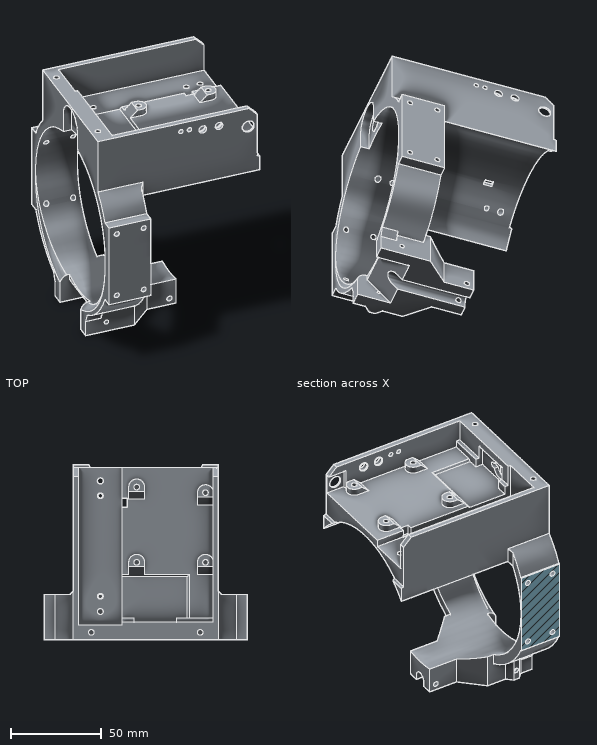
import cadquery as cq
import math


bore_radius = 100.6 / 2
ring_radius = 56.0
ring_length = 25.0
mouth_depth = 4.0
mouth_length = 5.5

pad_half_span = 56.0
pad_half_height = 25.0
pad_hole_diameter = 2.9
pad_hole_z = 20.0
pad_hole_y = (4.7, 20.7)

tray_half_width = 40.0
tray_length = 95.0
tray_top = 72.0
tray_bottom = math.sqrt(bore_radius**2 - tray_half_width**2)
wall = 3.0
wall_end_chamfer = 5.0
inner_half_width = tray_half_width - wall
foot_length = 1.5
foot_top = 40.0
foot_top_drop = 0.6
brace_size = 2.0

plate_top = 55.0
plate_front = 9.7
trough_floor = 50.7
trough_edge_x = -13.0
trough_front = 8.2
trough_hole_x = -25.0
trough_hole_diameter = 3.2
trough_pilot_diameter = 2.5
trough_step_depth = 2.0
trough_plain_hole_y = (15.6, 87.6)
trough_stepped_hole_y = (24.0, 79.4)
notch_width = 2.8
notch_y = (73.2, 78.0)

boss_diameter = 8.8
boss_height = 4.0
boss_flat = 2.4
boss_ramp = 4.3
boss_hole_diameter = 3.1
boss_centres = ((-5.0, 84.2), (-5.0, 42.7), (32.9, 81.1), (32.9, 42.7))
ledge_back = 11.9
ledge_gap_x = (-6.5, 17.0)

pocket_right_x = 24.0
pocket_back = 36.0
pocket_depth = 1.2

cover_hole_diameter = 3.1
cover_hole_depth = 10.0
cover_hole_x = 30.0
cover_hole_y = 4.1
arch_radius = 10.2
arch_depth = 5.0
arch_z = 60.3
cable_hole_diameter = 10.0
key_slot_diameter = 3.2
key_slot_x = 6.1
web_thickness = 2.5
rear_recess_top = 67.0

power_hole = (89.6, 60.3, 7.0)
socket_holes = ((72.2, 64.9, 4.5), (62.5, 64.9, 4.5))
lamp_holes = ((54.6, 66.6, 2.5), (49.5, 66.6, 2.5))
socket_rim_diameter = 5.2
socket_rim_depth = 0.5
recess_depth = 2.0
recess_front = 84.0
recess_top = 67.0

foot_bottom = -65.0
lug_half_width = 22.25
lug_gap_half_width = 15.0
tongue_half_width = 10.0
tongue_taper_y = (29.0, 41.6)
tongue_end = 59.0
gap_front = 5.6
gap_edge_z = -51.3
channel_width = 7.5
channel_top = -58.1
tongue_hole_diameter = 3.0
tongue_hole_y = 55.0
tongue_hole_z = -61.1
nut_boss_x = -25.5
nut_boss_y = (7.3, 10.4, 14.0, 17.3)
clamp_hole_diameter = 2.8
clamp_pilot_diameter = 1.5
clamp_exit_diameter = 2.5
clamp_hole_y = 12.4
clamp_hole_z = -59.0
clamp_head_depth = 2.0
gusset_bottom = -55.7
gusset_top_x = 24.4
gusset_length = 9.2


def block(x, y, z):
    """Box between two limits on each axis."""
    size = (x[1] - x[0], y[1] - y[0], z[1] - z[0])
    return cq.Workplane("XY").box(*size, centered=False).translate((x[0], y[0], z[0]))


def rod_x(diameter, x, y, z):
    """Cylinder along X between two X limits."""
    return cq.Workplane("YZ", origin=(x[0], y, z)).circle(diameter / 2).extrude(x[1] - x[0])


def rod_y(diameter, y, x, z):
    """Cylinder along Y between two Y limits."""
    return cq.Workplane("XZ", origin=(x, y[0], z)).circle(diameter / 2).extrude(y[0] - y[1])


def rod_z(diameter, z, x, y):
    """Cylinder along Z between two Z limits."""
    return cq.Workplane("XY", origin=(x, y, z[0])).circle(diameter / 2).extrude(z[1] - z[0])


def make_ring():
    ring = rod_y(2 * ring_radius, (0, ring_length), 0, 0)
    pads = block(
        (-pad_half_span, pad_half_span), (0, ring_length), (-pad_half_height, pad_half_height)
    )
    return ring.union(pads)


def make_tray():
    """Outer block of the tray with its rear feet; the bore later shapes its underside."""
    chamfer_start = tray_length - wall_end_chamfer
    foot_end = tray_length + foot_length
    side = [
        (0, tray_bottom),
        (foot_end, tray_bottom),
        (foot_end, foot_top - foot_top_drop),
        (tray_length, foot_top),
        (tray_length, tray_top - wall_end_chamfer),
        (chamfer_start, tray_top),
        (0, tray_top),
    ]
    return cq.Workplane("YZ").polyline(side).close().extrude(tray_half_width, both=True)


def make_braces():
    """Chamfers between the tray sides and the back of the ring, inside the ring outline."""
    outer = tray_half_width + brace_size
    back = ring_length + brace_size
    plan = [
        (-outer, ring_length),
        (outer, ring_length),
        (tray_half_width, back),
        (-tray_half_width, back),
    ]
    prism = cq.Workplane("XY").polyline(plan).close().extrude(ring_radius)
    return prism.intersect(rod_y(2 * ring_radius, (ring_length, back), 0, 0))


def make_foot():
    """Lugs and tapered tongue below the ring, with the nut boss on the -X lug."""
    plan = [
        (-lug_half_width, 0),
        (-lug_half_width, tongue_taper_y[0]),
        (-tongue_half_width, tongue_taper_y[1]),
        (-tongue_half_width, tongue_end),
        (tongue_half_width, tongue_end),
        (tongue_half_width, tongue_taper_y[1]),
        (lug_half_width, tongue_taper_y[0]),
        (lug_half_width, 0),
    ]
    height = -foot_bottom - math.sqrt(bore_radius**2 - lug_half_width**2)
    base = cq.Workplane("XY", origin=(0, 0, foot_bottom))
    foot = base.polyline(plan).close().extrude(height)
    boss_plan = [
        (-lug_half_width, nut_boss_y[0]),
        (nut_boss_x, nut_boss_y[1]),
        (nut_boss_x, nut_boss_y[2]),
        (-lug_half_width, nut_boss_y[3]),
    ]
    return foot.union(base.polyline(boss_plan).close().extrude(height))


def make_lug_gussets():
    """Sloped webs between the ring and the outer face of each lug."""
    top_z = -math.sqrt(ring_radius**2 - gusset_top_x**2)
    gusset = (
        cq.Workplane("XZ")
        .polyline([(lug_half_width, gusset_bottom), (gusset_top_x, top_z), (lug_half_width, top_z)])
        .close()
        .extrude(-gusset_length)
    )
    return gusset.union(gusset.mirror("YZ"))


def make_bore():
    """Bore over the whole length, with a rounded lower front edge that fades out at mid height."""
    bore = rod_y(2 * bore_radius, (0, tray_length + foot_length), 0, 0)
    throat = bore_radius - mouth_depth
    edge_radius = (mouth_length**2 + mouth_depth**2) / (2 * mouth_depth)
    half_angle = math.asin(mouth_length / edge_radius) / 2
    arc_middle = (
        throat + edge_radius * (1 - math.cos(half_angle)),
        mouth_length - edge_radius * math.sin(half_angle),
    )
    mouth = (
        cq.Workplane("XY")
        .lineTo(bore_radius, 0)
        .threePointArc(arc_middle, (throat, mouth_length))
        .lineTo(0, mouth_length)
        .close()
        .revolve(360, (0, 0), (0, 1))
        .rotate((0, 0, 0), (0, 1, 0), 90)
        .translate((0, 0, -mouth_depth))
    )
    return bore.union(mouth)


def make_tray_cavity():
    end = tray_length + foot_length
    main = block(
        (trough_edge_x, inner_half_width), (plate_front, end), (plate_top, tray_top)
    )
    trough = block(
        (-inner_half_width, trough_edge_x), (trough_front, end), (trough_floor, tray_top)
    )
    notch = block((trough_edge_x, trough_edge_x + notch_width), notch_y, (0, plate_top))
    return main.union(trough).union(notch)


def make_pocket():
    """Shallow pocket with 45 degree back and right sides, open to the trough."""
    floor = plate_top - pocket_depth
    back_profile = [
        (plate_front, floor),
        (pocket_back - pocket_depth, floor),
        (pocket_back, plate_top),
        (plate_front, plate_top),
    ]
    right_profile = [
        (trough_edge_x, floor),
        (pocket_right_x - pocket_depth, floor),
        (pocket_right_x, plate_top),
        (trough_edge_x, plate_top),
    ]
    along_x = cq.Workplane("YZ").polyline(back_profile).close().extrude(tray_half_width, both=True)
    along_y = cq.Workplane("XZ").polyline(right_profile).close().extrude(-tray_length)
    return along_x.intersect(along_y)


def make_board_supports():
    """Four ramped screw bosses and two ledges along the front wall."""
    top = plate_top + boss_height
    radius = boss_diameter / 2
    ramp = [
        (0, plate_top),
        (-boss_flat - boss_ramp, plate_top),
        (-boss_flat, top),
        (0, top),
    ]
    ledge_y = (plate_front, ledge_back)
    ledge_z = (plate_top - pocket_depth, top)
    left_ledge = block((trough_edge_x, ledge_gap_x[0]), ledge_y, ledge_z)
    right_ledge = block((ledge_gap_x[1], inner_half_width), ledge_y, ledge_z)
    supports = left_ledge.union(right_ledge)
    for x, y in boss_centres:
        body = cq.Workplane("YZ", origin=(x, y, 0)).polyline(ramp).close().extrude(radius, both=True)
        pillar = rod_z(boss_diameter, (plate_top, top), x, y)
        rear_half = block((x - radius, x + radius), (y, y + radius), (plate_top, top))
        boss = pillar.intersect(rear_half).union(body)
        boss = boss.cut(rod_z(boss_hole_diameter, (plate_top, top), x, y))
        supports = supports.union(boss)
    inside = block((trough_edge_x, inner_half_width), (0, tray_length), (0, tray_top))
    return supports.intersect(inside)


def make_front_wall_cuts():
    """Cover screw holes, arched recess above the bore, keyed cable hole and the recess behind it."""
    arch_y = (0, arch_depth)
    hole_y = (0, plate_front)
    key_half = key_slot_diameter / 2
    cuts = rod_y(2 * arch_radius, arch_y, 0, arch_z)
    cuts = cuts.union(block((-arch_radius, arch_radius), arch_y, (tray_bottom, arch_z)))
    cuts = cuts.union(rod_y(cable_hole_diameter, hole_y, 0, arch_z))
    cuts = cuts.union(rod_y(key_slot_diameter, hole_y, key_slot_x, arch_z))
    cuts = cuts.union(block((0, key_slot_x), hole_y, (arch_z - key_half, arch_z + key_half)))
    rear_recess_y = (arch_depth + web_thickness, plate_front)
    cuts = cuts.union(block(ledge_gap_x, rear_recess_y, (plate_top - pocket_depth, rear_recess_top)))
    cover_hole_z = (tray_top - cover_hole_depth, tray_top)
    for x in (-cover_hole_x, cover_hole_x):
        cuts = cuts.union(rod_z(cover_hole_diameter, cover_hole_z, x, cover_hole_y))
    return cuts


def make_trough_holes():
    """Plain and stepped screw holes through the trough floor into the bore."""
    through = (tray_bottom, trough_floor)
    step = (trough_floor - trough_step_depth, trough_floor)
    holes = cq.Workplane("XY")
    for y in trough_plain_hole_y:
        holes = holes.add(rod_z(trough_hole_diameter, through, trough_hole_x, y))
    for y in trough_stepped_hole_y:
        holes = holes.add(rod_z(trough_pilot_diameter, through, trough_hole_x, y))
        holes = holes.add(rod_z(trough_hole_diameter, step, trough_hole_x, y))
    return holes.combine()


def make_side_wall_cuts():
    """Recess and connector holes in the +X wall of the tray."""
    through = (inner_half_width, tray_half_width)
    rim = (inner_half_width, inner_half_width + socket_rim_depth)
    cuts = block(
        (inner_half_width, inner_half_width + recess_depth),
        (recess_front, tray_length),
        (plate_top, recess_top),
    )
    for y, z, diameter in (power_hole, *socket_holes, *lamp_holes):
        cuts = cuts.union(rod_x(diameter, through, y, z))
    for y, z, _ in socket_holes:
        cuts = cuts.union(rod_x(socket_rim_diameter, rim, y, z))
    return cuts


def make_pad_holes():
    holes = cq.Workplane("XY")
    for y in pad_hole_y:
        for z in (-pad_hole_z, pad_hole_z):
            holes = holes.add(rod_x(pad_hole_diameter, (-pad_half_span, pad_half_span), y, z))
    return holes.combine()


def make_foot_cuts():
    """Ramped gap between the lugs, arched channel along the tongue and the cross holes."""
    ramp_end = gap_front + gap_edge_z - foot_bottom
    gap_side = [
        (0, foot_bottom),
        (0, 0),
        (gap_front, 0),
        (gap_front, gap_edge_z),
        (ramp_end, foot_bottom),
    ]
    gap = cq.Workplane("YZ").polyline(gap_side).close().extrude(lug_gap_half_width, both=True)

    channel_y = (0, tongue_end)
    channel_half = channel_width / 2
    arch_centre = channel_top - channel_half
    channel = rod_y(channel_width, channel_y, 0, arch_centre)
    channel = channel.union(block((-channel_half, channel_half), channel_y, (foot_bottom, arch_centre)))

    tongue_x = (-tongue_half_width, tongue_half_width)
    pilot_x = (nut_boss_x, -lug_gap_half_width)
    exit_x = (lug_gap_half_width, lug_half_width)
    clamp_head_x = (nut_boss_x, nut_boss_x + clamp_head_depth)
    tongue_hole = rod_x(tongue_hole_diameter, tongue_x, tongue_hole_y, tongue_hole_z)
    clamp_pilot = rod_x(clamp_pilot_diameter, pilot_x, clamp_hole_y, clamp_hole_z)
    clamp_exit = rod_x(clamp_exit_diameter, exit_x, clamp_hole_y, clamp_hole_z)
    clamp_head = rod_x(clamp_hole_diameter, clamp_head_x, clamp_hole_y, clamp_hole_z)
    cuts = gap.union(channel).union(tongue_hole)
    return cuts.union(clamp_head).union(clamp_pilot).union(clamp_exit)


result = make_ring().union(make_tray()).union(make_braces())
result = result.union(make_foot()).union(make_lug_gussets())

result = result.cut(make_bore()).cut(make_tray_cavity()).cut(make_pocket())
result = result.union(make_board_supports())

result = result.cut(make_front_wall_cuts())
result = result.cut(make_trough_holes())
result = result.cut(make_side_wall_cuts())
result = result.cut(make_pad_holes())
result = result.cut(make_foot_cuts())